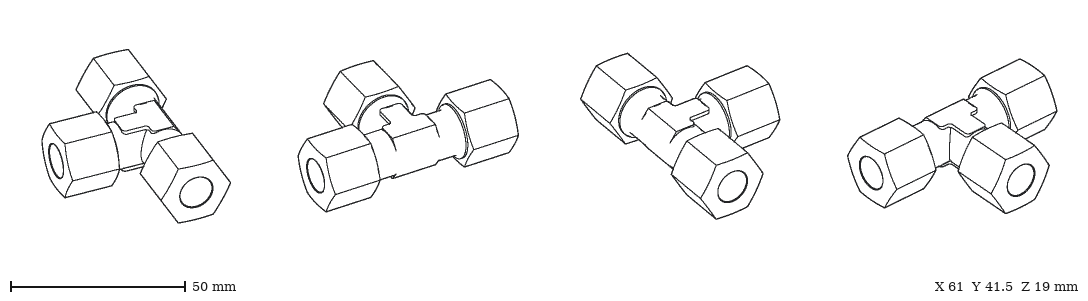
import cadquery as cq
import math

arm_length = 30.5

nut_flats = 19.0
nut_corners = nut_flats / math.cos(math.radians(30))
nut_length = 15.5
nut_chamfer_angle = 15.0
nut_back = arm_length - nut_length

body_diameter = 13.7
collar_diameter = 16.35
collar_width = 0.6
collar_slope = 60.0
collar_fillet = 0.75

bore_diameter = 9.0
socket_diameter = 10.0
mouth_diameter = 10.45

pad_thickness = 14.15
pad_width = 14.15
pad_half_depth = 3.35
stem_width = 7.2
stem_reach = 11.05
pad_corner_radius = 1.15
pad_inner_radius = 1.0


def make_nut():
    """Nut on the +X arm, chamfered at both ends."""
    hexagon = cq.Workplane("YZ").workplane(offset=nut_back).polygon(6, nut_corners).extrude(nut_length)
    face_radius = nut_flats / 2
    corner_radius = nut_corners / 2
    chamfer_depth = (corner_radius - face_radius) * math.tan(math.radians(nut_chamfer_angle))
    envelope = (
        cq.Workplane("XY")
        .moveTo(nut_back, 0)
        .lineTo(nut_back, face_radius)
        .lineTo(nut_back + chamfer_depth, corner_radius)
        .lineTo(arm_length - chamfer_depth, corner_radius)
        .lineTo(arm_length, face_radius)
        .lineTo(arm_length, 0)
        .close()
        .revolve(360, (0, 0, 0), (1, 0, 0))
    )
    return hexagon.intersect(envelope)


def make_body_arm():
    """Round body and collar on the +X arm, with a fillet where the collar flank meets the body."""
    body_radius = body_diameter / 2
    collar_radius = collar_diameter / 2
    slope = math.radians(collar_slope)
    collar_edge = nut_back - collar_width
    flank_foot = collar_edge - (collar_radius - body_radius) / math.tan(slope)
    tangent_length = collar_fillet * math.tan(slope / 2)
    fillet_start = flank_foot - tangent_length
    fillet_end = (
        flank_foot + tangent_length * math.cos(slope),
        body_radius + tangent_length * math.sin(slope),
    )
    fillet_middle = (
        fillet_start + collar_fillet * math.sin(slope / 2),
        body_radius + collar_fillet * (1 - math.cos(slope / 2)),
    )
    return (
        cq.Workplane("XZ")
        .lineTo(0, body_radius)
        .lineTo(fillet_start, body_radius)
        .threePointArc(fillet_middle, fillet_end)
        .lineTo(collar_edge, collar_radius)
        .lineTo(nut_back, collar_radius)
        .lineTo(nut_back, 0)
        .close()
        .revolve(360, (0, 0, 0), (1, 0, 0))
    )


def make_arm_bore():
    """Bore, socket and chamfered mouth of the +X arm."""
    mouth_chamfer = (mouth_diameter - socket_diameter) / 2
    return (
        cq.Workplane("XY")
        .lineTo(0, bore_diameter / 2)
        .lineTo(nut_back, bore_diameter / 2)
        .lineTo(nut_back, socket_diameter / 2)
        .lineTo(arm_length - mouth_chamfer, socket_diameter / 2)
        .lineTo(arm_length, mouth_diameter / 2)
        .lineTo(arm_length, 0)
        .close()
        .revolve(360, (0, 0, 0), (1, 0, 0))
    )


def make_pads():
    """Both pads as one block through the tee; its back slopes run tangent into the round body."""
    body_radius = body_diameter / 2
    half_thickness = pad_thickness / 2
    edge_distance = math.hypot(pad_half_depth, half_thickness)
    tangent_angle = math.atan2(half_thickness, pad_half_depth) - math.acos(body_radius / edge_distance)
    tangent_y = body_radius * math.cos(tangent_angle)
    tangent_z = body_radius * math.sin(tangent_angle)

    bar = (
        cq.Workplane("XY")
        .box(pad_width, 2 * pad_half_depth, pad_thickness)
        .edges("|Z and <Y")
        .fillet(pad_corner_radius)
    )
    stem = (
        cq.Workplane("XY")
        .box(stem_width, stem_reach, pad_thickness)
        .translate((0, -stem_reach / 2, 0))
        .edges("|Z and <Y")
        .fillet(pad_corner_radius)
    )
    inner_reach = (stem_width + pad_width) / 4
    inner_corners = cq.selectors.BoxSelector(
        (-inner_reach, -pad_half_depth - pad_inner_radius, -pad_thickness),
        (inner_reach, -pad_half_depth + pad_inner_radius, pad_thickness),
    )
    tee = bar.union(stem).edges("|Z").edges(inner_corners).fillet(pad_inner_radius)
    slopes = (
        cq.Workplane("YZ")
        .polyline([
            (0, half_thickness),
            (pad_half_depth, half_thickness),
            (tangent_y, tangent_z),
            (tangent_y, -tangent_z),
            (pad_half_depth, -half_thickness),
            (0, -half_thickness),
        ])
        .close()
        .extrude(pad_width / 2, both=True)
    )
    return tee.union(slopes)


def on_all_arms(shape):
    """Join copies of a +X arm shape for the +X, -X and -Y arms."""
    combined = shape
    for turn in (180, -90):
        combined = combined.union(shape.rotate((0, 0, 0), (0, 0, 1), turn))
    return combined


outside = on_all_arms(make_body_arm()).union(make_pads()).union(on_all_arms(make_nut()))
result = outside.cut(on_all_arms(make_arm_bore()))